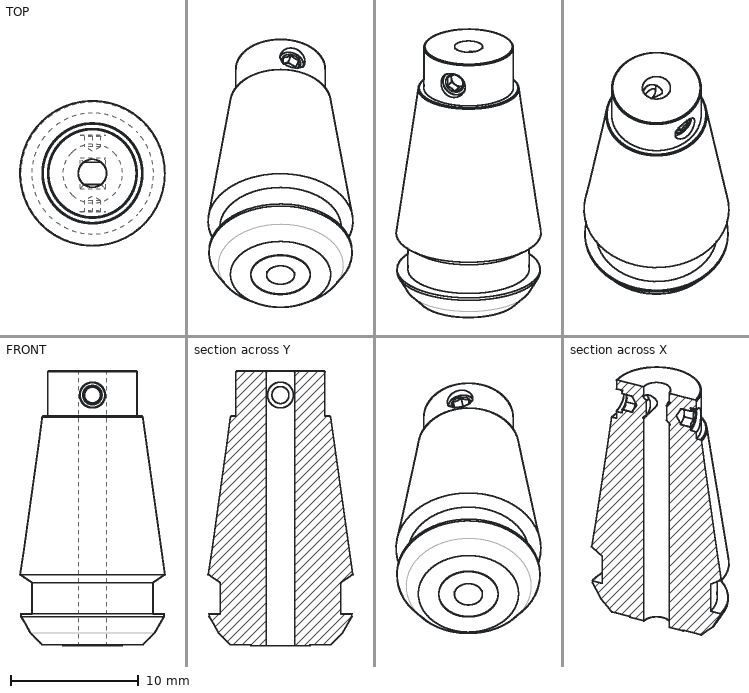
import cadquery as cq
import math

total_height = 21.5
boss_height = 0.06
rim_bend_height = 1.03
rim_edge_height = 2.28
rim_top_height = 2.5
groove_top_height = 4.95
skirt_height = 5.57
shoulder_height = 17.97

boss_diameter = 4.65
rim_bottom_diameter = 7.85
rim_diameter = 11.2
groove_diameter = 9.5
skirt_diameter = 11.35
shoulder_diameter = 7.9
neck_diameter = 7.0
bore_diameter = 2.2
edge_chamfer = 0.09

screw_diameter = 2.02
screw_height = 19.6
screw_face_offset = 3.0
screw_tip_offset = 0.85
screw_tip_diameter = 1.33
screw_face_chamfer = 0.05
socket_across_flats = 1.25
socket_depth = 0.9
socket_lead_in_diameter = 1.5
socket_point_angle = 120.0

rim_bend_diameter = rim_bottom_diameter + 2 * (rim_bend_height - boss_height)
outline = [
    (0, 0),
    (boss_diameter / 2, 0),
    (boss_diameter / 2, boss_height),
    (rim_bottom_diameter / 2, boss_height),
    (rim_bend_diameter / 2, rim_bend_height),
    (rim_diameter / 2, rim_edge_height),
    (rim_diameter / 2, rim_top_height),
    (groove_diameter / 2, rim_top_height),
    (groove_diameter / 2, groove_top_height),
    (skirt_diameter / 2, skirt_height),
    (shoulder_diameter / 2, shoulder_height - edge_chamfer),
    (shoulder_diameter / 2 - edge_chamfer, shoulder_height),
    (neck_diameter / 2, shoulder_height),
    (neck_diameter / 2, total_height - edge_chamfer),
    (neck_diameter / 2 - edge_chamfer, total_height),
    (0, total_height),
]
body = cq.Workplane("XZ").polyline(outline).close().revolve(360, (0, 0), (0, 1))

bore = cq.Workplane("XY").circle(bore_diameter / 2).extrude(total_height)
cross_hole = (
    cq.Workplane("XZ", origin=(0, 0, screw_height))
    .circle(screw_diameter / 2)
    .extrude(neck_diameter, both=True)
)
body = body.cut(bore).cut(cross_hole)


def revolve_about_screw_axis(points):
    """Revolve (radius, distance along -Y) points about the screw axis."""
    return (
        cq.Workplane("XY", origin=(0, 0, screw_height))
        .polyline([(radius, -distance) for radius, distance in points])
        .close()
        .revolve(360, (0, 0), (0, 1))
    )


def make_set_screw():
    """Set screw on the -Y side: chamfered tip, hex socket with lead-in and drilled bottom."""
    tip_chamfer = (screw_diameter - screw_tip_diameter) / 2
    screw = revolve_about_screw_axis([
        (0, screw_tip_offset),
        (screw_tip_diameter / 2, screw_tip_offset),
        (screw_diameter / 2, screw_tip_offset + tip_chamfer),
        (screw_diameter / 2, screw_face_offset - screw_face_chamfer),
        (screw_diameter / 2 - screw_face_chamfer, screw_face_offset),
        (0, screw_face_offset),
    ])

    hex_corner_diameter = socket_across_flats / math.cos(math.radians(30))
    socket = (
        cq.Workplane("XZ", origin=(0, -screw_face_offset, screw_height))
        .transformed(rotate=(0, 0, 90))
        .polygon(6, hex_corner_diameter)
        .extrude(-socket_depth)
    )

    socket_bottom_offset = screw_face_offset - socket_depth
    point_radius = socket_across_flats / 2
    point_depth = point_radius / math.tan(math.radians(socket_point_angle / 2))
    socket_point = revolve_about_screw_axis([
        (0, socket_bottom_offset - point_depth),
        (point_radius, socket_bottom_offset),
        (0, socket_bottom_offset),
    ])

    lead_in_radius = socket_lead_in_diameter / 2
    lead_in = revolve_about_screw_axis([
        (0, screw_face_offset - lead_in_radius),
        (lead_in_radius, screw_face_offset),
        (0, screw_face_offset),
    ])
    return screw.cut(socket).cut(socket_point).cut(lead_in)


result = body
for screw_angle in (0, 180):
    result = result.union(make_set_screw().rotate((0, 0, 0), (0, 0, 1), screw_angle))